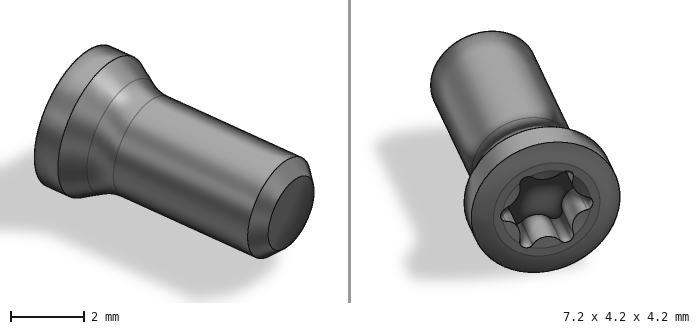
import cadquery as cq
import math

length = 7.2
head_radius = 2.099
shank_radius = 1.501

face_radius = shank_radius
crown_depth = 0.115
band_end = 0.9
underside_angle = math.radians(30)
neck_fillet_radius = 1.5

tip_chamfer = 0.4

lobe_count = 6
socket_depth = 1.225
lobe_tip_radius = 1.3
valley_radius = 0.935
lobe_round = 0.215
countersink_radius = 1.245
countersink_angle = math.radians(15)


def make_body():
    """Revolve the half profile of head, neck and shank about X."""
    crown_width = head_radius - face_radius
    crown_radius = (crown_width**2 + crown_depth**2) / (2 * crown_depth)
    crown_half_angle = math.asin(crown_width / crown_radius) / 2
    crown_mid = (
        crown_radius * (1 - math.cos(crown_half_angle)),
        face_radius + crown_radius * math.sin(crown_half_angle),
    )

    cone_end_radius = shank_radius + neck_fillet_radius * (1 - math.cos(underside_angle))
    cone_end = band_end + (head_radius - cone_end_radius) / math.tan(underside_angle)
    neck_end = cone_end + neck_fillet_radius * math.sin(underside_angle)
    neck_mid = (
        neck_end - neck_fillet_radius * math.sin(underside_angle / 2),
        shank_radius + neck_fillet_radius * (1 - math.cos(underside_angle / 2)),
    )

    return (
        cq.Workplane("XY")
        .moveTo(0, 0)
        .lineTo(0, face_radius)
        .threePointArc(crown_mid, (crown_depth, head_radius))
        .lineTo(band_end, head_radius)
        .lineTo(cone_end, cone_end_radius)
        .threePointArc(neck_mid, (neck_end, shank_radius))
        .lineTo(length - tip_chamfer, shank_radius)
        .lineTo(length, shank_radius - tip_chamfer)
        .lineTo(length, 0)
        .close()
        .revolve(360, (0, 0, 0), (1, 0, 0))
    )


def polar(radius, angle):
    return (radius * math.cos(angle), radius * math.sin(angle))


def make_socket():
    """Extrude the lobed outline, whose convex and concave arcs are tangent."""
    half_pitch = math.pi / lobe_count
    lobe_center = lobe_tip_radius - lobe_round
    valley_round = (
        lobe_center**2 + valley_radius**2 - lobe_round**2
        - 2 * lobe_center * valley_radius * math.cos(half_pitch)
    ) / (2 * (lobe_round - valley_radius + lobe_center * math.cos(half_pitch)))
    valley_center = polar(valley_radius + valley_round, half_pitch)

    share = lobe_round / (lobe_round + valley_round)
    joint_y = lobe_center + share * (valley_center[0] - lobe_center)
    joint_z = share * valley_center[1]
    joint_radius = math.hypot(joint_y, joint_z)
    joint_angle = math.atan2(joint_z, joint_y)

    outline = cq.Workplane("YZ").moveTo(*polar(joint_radius, -joint_angle))
    for index in range(lobe_count):
        lobe_angle = 2 * half_pitch * index
        next_lobe_angle = lobe_angle + 2 * half_pitch
        outline = outline.threePointArc(
            polar(lobe_tip_radius, lobe_angle),
            polar(joint_radius, lobe_angle + joint_angle),
        ).threePointArc(
            polar(valley_radius, lobe_angle + half_pitch),
            polar(joint_radius, next_lobe_angle - joint_angle),
        )
    return outline.close().extrude(socket_depth)


def make_countersink():
    """Shallow cone that breaks the socket's mouth."""
    cone_depth = countersink_radius * math.tan(countersink_angle)
    return (
        cq.Workplane("XY")
        .polyline([(0, 0), (0, countersink_radius), (cone_depth, 0)])
        .close()
        .revolve(360, (0, 0, 0), (1, 0, 0))
    )


result = make_body().cut(make_socket()).cut(make_countersink())